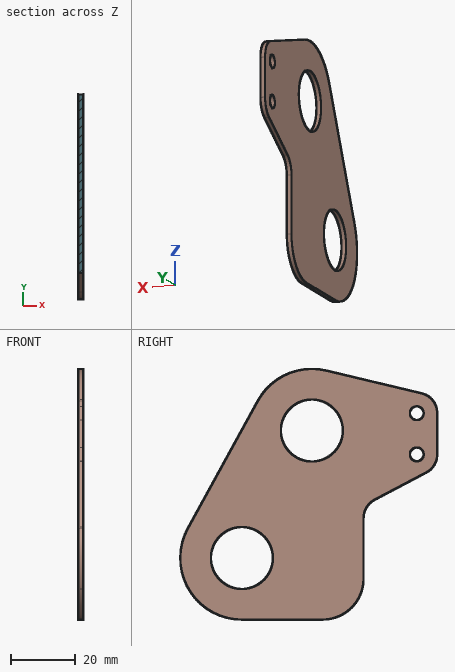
import cadquery as cq
import math

THICKNESS = 1.5875

LARGE_HOLE_DIAMETER = 19.05
LARGE_END_RADIUS = LARGE_HOLE_DIAMETER
SMALL_HOLE_DIAMETER = 4.17
SMALL_HOLE_SPACING = 12.7
TAB_RADIUS = 6.35

LOWER_LARGE = (0.0, 0.0)
UPPER_LARGE = (21.58, 39.32)
LOWER_SMALL = (53.94, 31.96)
UPPER_SMALL = (LOWER_SMALL[0], LOWER_SMALL[1] + SMALL_HOLE_SPACING)

SIDE_WALL_Y = 37.57
BOTTOM_CORNER_RADIUS = 12.7
NECK_RADIUS = 6.35
TAB_SLOPE = math.radians(27.8)


def polar(centre, radius, angle):
    """Point at the given radius and angle from a centre."""
    return (centre[0] + radius * math.cos(angle), centre[1] + radius * math.sin(angle))


def arc(sketch, centre, radius, start, end):
    """Add an arc about a centre to the outline, ending at the end angle."""
    middle = polar(centre, radius, (start + end) / 2)
    return sketch.threePointArc(middle, polar(centre, radius, end))


def direction(start, end):
    """Angle of the line from one point to another."""
    return math.atan2(end[1] - start[1], end[0] - start[0])


def upper_edge_normal():
    """Outward angle of the edge tangent to the upper large end and the upper tab corner."""
    radius_step = LARGE_END_RADIUS - TAB_RADIUS
    lean = math.acos(radius_step / math.dist(UPPER_LARGE, UPPER_SMALL))
    return direction(UPPER_LARGE, UPPER_SMALL) + lean


def neck_centre():
    """Centre of the concave round tangent to the side wall and the tab's lower edge."""
    y = SIDE_WALL_Y + NECK_RADIUS
    offset = polar(LOWER_SMALL, TAB_RADIUS + NECK_RADIUS, TAB_SLOPE - math.pi / 2)
    return (y, offset[1] + (y - offset[0]) * math.tan(TAB_SLOPE))


def plate():
    """Solid plate, outlined anticlockwise from the bottom of the lower large end."""
    right, up, left, down = 0.0, math.pi / 2, math.pi, -math.pi / 2
    tab_lower_normal = TAB_SLOPE + down
    tab_upper_normal = upper_edge_normal()
    long_edge_normal = direction(LOWER_LARGE, UPPER_LARGE) + up
    bottom_corner = (
        SIDE_WALL_Y - BOTTOM_CORNER_RADIUS,
        LOWER_LARGE[1] - LARGE_END_RADIUS + BOTTOM_CORNER_RADIUS,
    )
    neck = neck_centre()

    outline = cq.Workplane("YZ").moveTo(*polar(LOWER_LARGE, LARGE_END_RADIUS, down))
    outline = outline.lineTo(*polar(bottom_corner, BOTTOM_CORNER_RADIUS, down))
    outline = arc(outline, bottom_corner, BOTTOM_CORNER_RADIUS, down, right)
    outline = outline.lineTo(*polar(neck, NECK_RADIUS, left))
    outline = arc(outline, neck, NECK_RADIUS, left, tab_lower_normal + math.pi)
    outline = outline.lineTo(*polar(LOWER_SMALL, TAB_RADIUS, tab_lower_normal))
    outline = arc(outline, LOWER_SMALL, TAB_RADIUS, tab_lower_normal, right)
    outline = outline.lineTo(*polar(UPPER_SMALL, TAB_RADIUS, right))
    outline = arc(outline, UPPER_SMALL, TAB_RADIUS, right, tab_upper_normal)
    outline = outline.lineTo(*polar(UPPER_LARGE, LARGE_END_RADIUS, tab_upper_normal))
    outline = arc(outline, UPPER_LARGE, LARGE_END_RADIUS, tab_upper_normal, long_edge_normal)
    outline = outline.lineTo(*polar(LOWER_LARGE, LARGE_END_RADIUS, long_edge_normal))
    outline = arc(outline, LOWER_LARGE, LARGE_END_RADIUS, long_edge_normal, down + 2 * math.pi)
    return outline.close().extrude(THICKNESS)


def hole_cutters(centres, diameter):
    """Cylinders through the plate thickness at the given centres."""
    return cq.Workplane("YZ").pushPoints(centres).circle(diameter / 2).extrude(THICKNESS)


result = (
    plate()
    .cut(hole_cutters([LOWER_LARGE, UPPER_LARGE], LARGE_HOLE_DIAMETER))
    .cut(hole_cutters([LOWER_SMALL, UPPER_SMALL], SMALL_HOLE_DIAMETER))
)